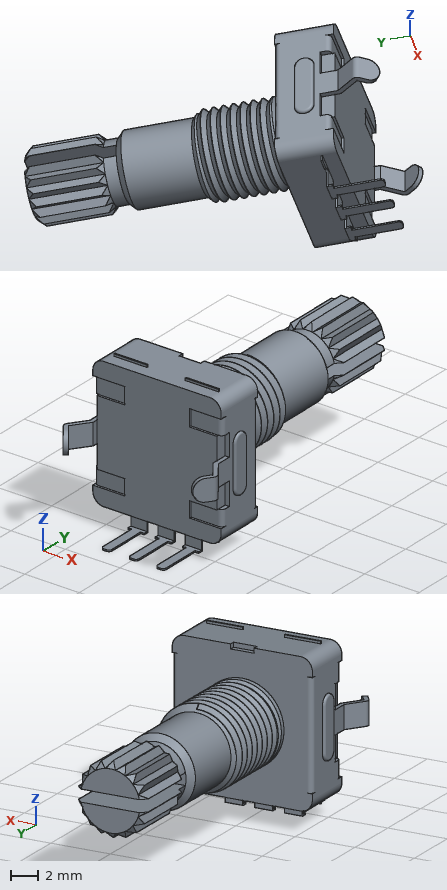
import cadquery as cq
import math


body_width = 11.8
body_height = 12.0
body_depth = 4.5
corner_radius = 1.0
half_width = body_width / 2
half_height = body_height / 2

sheet = 0.4
bend_radius = sheet
panel_half_height = 4.52
tab_recess = 0.2
tab_inner_x = 2.98
upper_tab_z = 3.0
lower_tab_z = -3.1
side_notch_depth = 1.0
top_notch_width = 1.96
top_notch_depth = 0.45

pad_length = 5.22
pad_width = 1.5
pad_height = 0.22
pad_edge_radius = 0.2
pad_center_y = 2.22

clip_width = 1.96
clip_straight = 0.35
clip_span = 14.0
clip_outer_x = clip_span / 2
clip_end_y = -3.56
clip_slope = math.radians(54)
clip_knee_radius = 0.42

terminal_sheet = 0.15
terminal_y = 1.12
terminal_spacing = 2.5
terminal_width = 1.5
terminal_drop = 1.68
terminal_end_y = -3.0
pin_width = 0.8
pin_tip_radius = 0.28
foot_length = 0.35
carrier_half_width = 4.8
carrier_drop = 0.45
relief_radius = 0.25
strip_rise = 0.2

bushing_radius = 3.5
bushing_length = 7.13
bushing_chamfer = 0.5
thread_pitch = 0.75
thread_depth = 0.36
thread_crest_flat = 0.042
thread_start_inset = 0.25
thread_overcut = 0.015
thread_turns = 8
runout_turns = 0.7
runout_fade = 0.98

shaft_radius = 3.0
shaft_length = 20.0
shaft_end_y = body_depth + shaft_length
shaft_chamfer = 0.5
neck_radius = shaft_radius - shaft_chamfer
neck_end = 7.0
knurl_length = 6.0
tooth_count = 18
slot_width = 1.0

bushing_end_y = body_depth + bushing_length


def box(x_range, y_range, z_range):
    """Axis-aligned block between the given limits."""
    limits = (x_range, y_range, z_range)
    size = [high - low for low, high in limits]
    low_corner = [low for low, high in limits]
    return cq.Workplane("XY").box(*size, centered=False).translate(tuple(low_corner))


def along_z(outline, z_low, z_high):
    """Extrude an XY outline between two heights."""
    return outline.extrude(z_high - z_low).translate((0, 0, z_low))


def both_sides(solid):
    """Join a solid to its mirror image across the YZ plane."""
    return solid.union(solid.mirror("YZ"))


def make_housing():
    block = (
        cq.Workplane("XZ")
        .rect(body_width, body_height)
        .extrude(-body_depth)
        .edges("|Y")
        .fillet(corner_radius)
    )
    top_notch = box(
        (-top_notch_width / 2, top_notch_width / 2),
        (body_depth - top_notch_depth, body_depth),
        (half_height - sheet, half_height),
    )
    return block.cut(top_notch).cut(both_sides(side_cuts()))


def side_cuts():
    """Material removed on the +X side to shape the bent cover sheet."""
    bend_mid = bend_radius * (1 - math.sqrt(0.5))
    rear_bend = (
        cq.Workplane("XY")
        .moveTo(half_width, body_depth - bend_radius)
        .threePointArc(
            (half_width - bend_mid, body_depth - bend_mid),
            (half_width - bend_radius, body_depth),
        )
        .lineTo(half_width, body_depth)
        .close()
    )
    cuts = along_z(rear_bend, -panel_half_height, panel_half_height)
    for side, tab_z in ((1, upper_tab_z), (-1, lower_tab_z)):
        tab_bend = (
            cq.Workplane("XY")
            .moveTo(tab_inner_x, 0)
            .lineTo(tab_inner_x, tab_recess)
            .lineTo(half_width - bend_radius, tab_recess)
            .threePointArc(
                (half_width - bend_mid, tab_recess + bend_mid),
                (half_width, tab_recess + bend_radius),
            )
            .lineTo(half_width, 0)
            .close()
        )
        tab_limits = sorted((tab_z, side * panel_half_height))
        notch_limits = sorted((side * clip_width / 2, tab_z))
        cuts = cuts.union(along_z(tab_bend, *tab_limits))
        cuts = cuts.union(
            box((half_width - sheet, half_width), (0, side_notch_depth), notch_limits)
        )
    return cuts


def make_side_pad():
    return (
        cq.Workplane("YZ", origin=(half_width - sheet / 2, pad_center_y, 0))
        .slot2D(pad_length, pad_width, 90)
        .extrude(sheet / 2 + pad_height)
        .faces(">X")
        .edges()
        .fillet(pad_edge_radius)
    )


def make_clip():
    """Spring clip on the +X side: straight, outward, then back inward with a round tip."""
    run_x = math.cos(clip_slope)
    run_y = math.sin(clip_slope)
    inner_x = half_width - sheet
    knee_x = clip_outer_x + clip_knee_radius * (1 / run_y - 1)
    knee_y = -clip_straight - (knee_x - half_width) * run_y / run_x
    bend_shift = sheet * math.tan((math.pi / 2 - clip_slope) / 2)
    inner_knee_x = knee_x - sheet / run_y
    upper_leg = along_z(
        cq.Workplane("XY").polyline(
            [
                (inner_x, 0),
                (half_width, 0),
                (half_width, -clip_straight),
                (knee_x, knee_y),
                (inner_knee_x, knee_y),
                (inner_x, -clip_straight - bend_shift),
            ]
        ).close(),
        -clip_width / 2,
        clip_width / 2,
    )
    tip_radius = clip_width / 2
    leg_length = (knee_y - clip_end_y) / run_y
    outer_face = cq.Plane(
        origin=(knee_x, knee_y, 0), xDir=(-run_x, -run_y, 0), normal=(-run_y, run_x, 0)
    )
    lower_leg = (
        cq.Workplane(outer_face)
        .moveTo(-sheet, -tip_radius)
        .lineTo(leg_length - tip_radius, -tip_radius)
        .threePointArc((leg_length, 0), (leg_length - tip_radius, tip_radius))
        .lineTo(-sheet, tip_radius)
        .close()
        .extrude(sheet)
    )
    below_knee = box(
        (0, body_width), (2 * clip_end_y, knee_y), (-clip_width, clip_width)
    )
    clip = upper_leg.union(lower_leg.intersect(below_knee))
    return clip.edges("|Z and >X").fillet(clip_knee_radius)


def make_terminal(x):
    """Pin that drops below the housing and turns toward -Y."""
    bottom = -half_height - terminal_drop
    front_y = terminal_y
    back_y = terminal_y + terminal_sheet
    wide = (x - terminal_width / 2, x + terminal_width / 2)
    drop = box(wide, (front_y, back_y), (bottom, -half_height + sheet))
    foot = box(wide, (front_y - foot_length, back_y), (bottom, bottom + terminal_sheet))
    pin = (
        box(
            (x - pin_width / 2, x + pin_width / 2),
            (terminal_end_y, back_y),
            (bottom, bottom + terminal_sheet),
        )
        .edges("|Z and <Y")
        .fillet(pin_tip_radius)
    )
    terminal = drop.union(foot).union(pin)
    return terminal.edges("|X and >Y and <Z").fillet(terminal_sheet / 2)


def make_carrier():
    """Edge of the terminal carrier on the +X side, below and above the housing."""
    inner_x = terminal_spacing - terminal_width / 2
    span_x = (inner_x, carrier_half_width)
    span_y = (terminal_y, terminal_y + terminal_sheet)
    lower = box(span_x, span_y, (-half_height - carrier_drop, -half_height + sheet))
    upper = box(span_x, span_y, (half_height - sheet, half_height + strip_rise))
    relief = (
        cq.Workplane("XZ")
        .center(terminal_spacing + terminal_width / 2 + relief_radius, -half_height - carrier_drop)
        .circle(relief_radius)
        .extrude(-body_depth)
    )
    return lower.cut(relief).union(upper)


def helix(radius, height, turns, pitch=thread_pitch, cone_angle=360):
    """Helix about the local Z axis, starting at a height on the local X side."""
    wire = cq.Wire.makeHelix(pitch, pitch * turns, radius, angle=cone_angle)
    return wire.moved(cq.Location(cq.Vector(0, 0, height)))


def triangle(helices, end):
    """Flat face joining the same end of three helices."""
    corners = [curve.positionAt(end) for curve in helices]
    return cq.Face.makeFromWires(cq.Wire.makePolygon(corners, close=True))


def groove_between(helices):
    """Solid of triangular section bounded by three helices."""
    faces = [cq.Face.makeRuledSurface(helices[i - 1], helices[i]) for i in range(3)]
    faces += [triangle(helices, 0), triangle(helices, 1)]
    return cq.Solid.makeSolid(cq.Shell.makeShell(faces))


def make_thread_groove():
    """V-shaped helical groove from the +Z side toward -Y, and its fading last stretch."""
    scale = (thread_depth + thread_overcut) / thread_depth
    half_opening = scale * (thread_pitch - thread_crest_flat) / 2
    root_radius = bushing_radius - thread_depth
    mouth_radius = bushing_radius + thread_overcut
    groove = groove_between(
        [
            helix(root_radius, 0, thread_turns),
            helix(mouth_radius, half_opening, thread_turns),
            helix(mouth_radius, -half_opening, thread_turns),
        ]
    )
    root_rise = thread_depth * runout_fade
    mouth_closing = half_opening * runout_fade / runout_turns
    cone_angle = math.degrees(math.atan2(root_rise, thread_pitch * runout_turns))
    runout = groove_between(
        [
            helix(root_radius, 0, runout_turns, cone_angle=cone_angle),
            helix(mouth_radius, half_opening, runout_turns, thread_pitch - mouth_closing),
            helix(mouth_radius, -half_opening, runout_turns, thread_pitch + mouth_closing),
        ]
    )
    runout = runout.rotate(cq.Vector(0, 0, 0), cq.Vector(0, 0, 1), 360 * thread_turns)
    runout = runout.translate(cq.Vector(0, 0, thread_pitch * thread_turns))
    start = cq.Location(
        cq.Plane(
            origin=(0, bushing_end_y - thread_start_inset, 0), xDir=(0, 0, 1), normal=(0, -1, 0)
        )
    )
    return [groove.moved(start), runout.moved(start)]


def make_bushing():
    plain = (
        cq.Workplane("XZ", origin=(0, body_depth, 0))
        .circle(bushing_radius)
        .extrude(-bushing_length)
        .faces(">Y")
        .chamfer(bushing_chamfer)
    )
    for groove in make_thread_groove():
        plain = plain.cut(cq.Workplane(groove))
    return plain


def make_shaft():
    shoulder_y = shaft_end_y - neck_end
    knurl_start_y = shaft_end_y - knurl_length
    shaft = (
        cq.Workplane("XY")
        .polyline(
            [
                (0, body_depth),
                (shaft_radius, body_depth),
                (shaft_radius, shoulder_y - shaft_chamfer),
                (neck_radius, shoulder_y),
                (neck_radius, knurl_start_y),
                (0, knurl_start_y),
            ]
        )
        .close()
        .revolve(360, (0, 0), (0, 1))
    )
    slot = box(
        (-shaft_radius, shaft_radius), (shoulder_y, shaft_end_y), (-slot_width / 2, slot_width / 2)
    )
    return shaft.union(make_knurl(knurl_start_y)).cut(slot)


def make_knurl(start_y):
    """Star-shaped grip with V teeth, bevelled at both ends; one tooth points to +Z."""
    points = []
    for step in range(2 * tooth_count):
        radius = neck_radius if step % 2 else shaft_radius
        angle = math.pi * step / tooth_count
        points.append((radius * math.sin(angle), radius * math.cos(angle)))
    star = (
        cq.Workplane("XZ", origin=(0, start_y, 0)).polyline(points).close().extrude(-knurl_length)
    )
    bevelled = (
        cq.Workplane("XZ", origin=(0, start_y, 0))
        .circle(shaft_radius)
        .extrude(-knurl_length)
        .edges()
        .chamfer(shaft_chamfer)
    )
    return star.intersect(bevelled)


result = make_housing()
result = result.union(both_sides(make_side_pad()))
result = result.union(both_sides(make_clip()))
result = result.union(both_sides(make_carrier()))
for column in (-1, 0, 1):
    result = result.union(make_terminal(column * terminal_spacing))
result = result.union(make_shaft()).union(make_bushing())